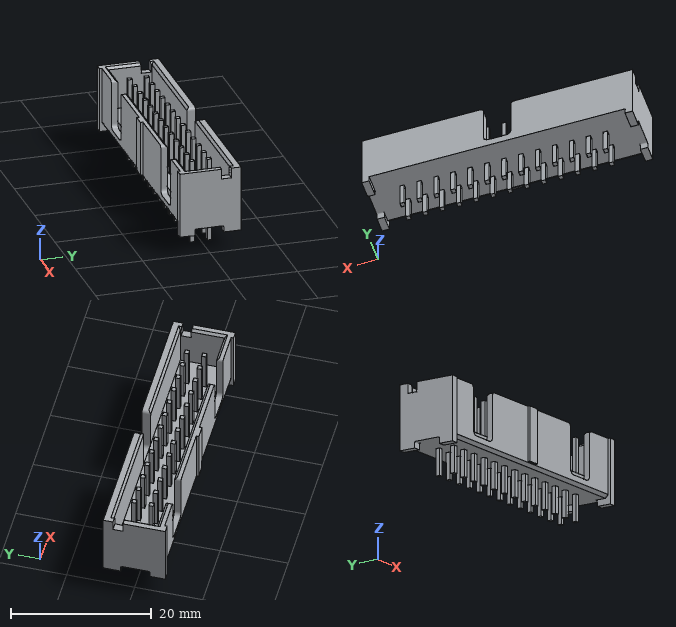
import cadquery as cq


length = 40.65
depth = 9.15
body_height = 9.8
foot_height = 0.98
end_wall = 1.15
side_wall = 1.35
floor_depth = 6.5
front_recess = 0.35
mouth_chamfer = 0.35
bottom_chamfer = 0.5

rib_width = 1.83
rib_height = 8.2

foot_gap = 4.25
foot_gap_offset = -0.15
foot_gap_radius = 0.2

notch_depth = 1.5
notch_width = 1.45
notch_to_back_face = 1.45

slot_bottom_radius = 0.77
slot_lip_radius = 0.5
front_slot_width = 4.75
front_slot_depth = 7.48
front_slot_offset = 12.15
key_slot_width = 4.05
key_slot_depth = front_slot_depth
key_lip_radius = 0.55

pins_per_row = 13
pin_row_length = 30.5
pin_pitch = pin_row_length / (pins_per_row - 1)
row_pitch = pin_pitch
pin_width = 0.65
pin_length = 12.5
pin_bottom = -3.1

front_face = -depth / 2
back_face = depth / 2
front_wall_face = front_face + front_recess
cavity_length = length - 2 * end_wall
cavity_width = depth - 2 * side_wall
cavity_floor = body_height - floor_depth


def box(x_size, y_min, y_max, z_min, z_max):
    """Box centred on X, spanning the given Y and Z ranges."""
    corner = (-x_size / 2, y_min, z_min)
    return cq.Workplane("XY").box(x_size, y_max - y_min, z_max - z_min, centered=False).translate(corner)


def make_block():
    """Outer block: full-depth end walls with feet, joined by a shallower middle and a front rib."""
    block = box(length, front_face, back_face, 0, body_height)
    front_relief = box(cavity_length, front_face, front_wall_face, 0, body_height)
    under_relief = box(cavity_length, front_face, back_face, 0, foot_height)
    rib = box(rib_width, front_face, front_wall_face, body_height - rib_height, body_height)
    bottom_bevel = (
        cq.Workplane("YZ")
        .moveTo(front_wall_face, foot_height)
        .lineTo(front_wall_face + bottom_chamfer, foot_height)
        .lineTo(front_wall_face, foot_height + bottom_chamfer)
        .close()
        .extrude(cavity_length / 2, both=True)
    )
    return block.cut(front_relief).cut(under_relief).cut(bottom_bevel).union(rib)


def make_foot_gap():
    """Gap between the feet, rounded in its upper corners."""
    y_min = foot_gap_offset - foot_gap / 2
    gap = box(length, y_min, y_min + foot_gap, 0, foot_height)
    return gap.edges("|X and >Z").fillet(foot_gap_radius)


def make_cavity():
    """Cavity for the mating plug, with a 45 degree bevel around its mouth."""
    cavity = box(cavity_length, -cavity_width / 2, cavity_width / 2, cavity_floor, body_height)
    mouth = (
        cq.Workplane("XY", origin=(0, 0, body_height - mouth_chamfer))
        .rect(cavity_length, cavity_width)
        .workplane(offset=mouth_chamfer)
        .rect(cavity_length + 2 * mouth_chamfer, cavity_width + 2 * mouth_chamfer)
        .loft(ruled=True)
    )
    return cavity.union(mouth)


def make_slot(x, y_outer, y_inner, width, slot_depth, lip_radius):
    """Slot through a long wall, rounded at its bottom corners and at its upper lips."""
    half = width / 2
    top = body_height
    bottom = body_height - slot_depth
    return (
        cq.Workplane("XZ", origin=(x, y_outer, 0))
        .moveTo(-half - lip_radius, top)
        .radiusArc((-half, top - lip_radius), lip_radius)
        .lineTo(-half, bottom + slot_bottom_radius)
        .radiusArc((-half + slot_bottom_radius, bottom), -slot_bottom_radius)
        .lineTo(half - slot_bottom_radius, bottom)
        .radiusArc((half, bottom + slot_bottom_radius), -slot_bottom_radius)
        .lineTo(half, top - lip_radius)
        .radiusArc((half + lip_radius, top), lip_radius)
        .close()
        .extrude(y_outer - y_inner)
    )


def make_pins():
    """Two rows of square pins standing through the floor."""
    return (
        cq.Workplane("XY", origin=(0, 0, pin_bottom))
        .rarray(pin_pitch, row_pitch, pins_per_row, 2)
        .rect(pin_width, pin_width)
        .extrude(pin_length)
    )


notch_back = back_face - notch_to_back_face
notch = box(length, notch_back - notch_width, notch_back, body_height - notch_depth, body_height)

header = make_block().cut(make_foot_gap()).cut(make_cavity()).cut(notch)

for side in (-1, 1):
    front_slot = make_slot(
        side * front_slot_offset, front_face, -cavity_width / 2,
        front_slot_width, front_slot_depth, slot_lip_radius,
    )
    header = header.cut(front_slot)

key_slot = make_slot(0, back_face, cavity_width / 2, key_slot_width, key_slot_depth, key_lip_radius)
header = header.cut(key_slot)

result = header.union(make_pins())